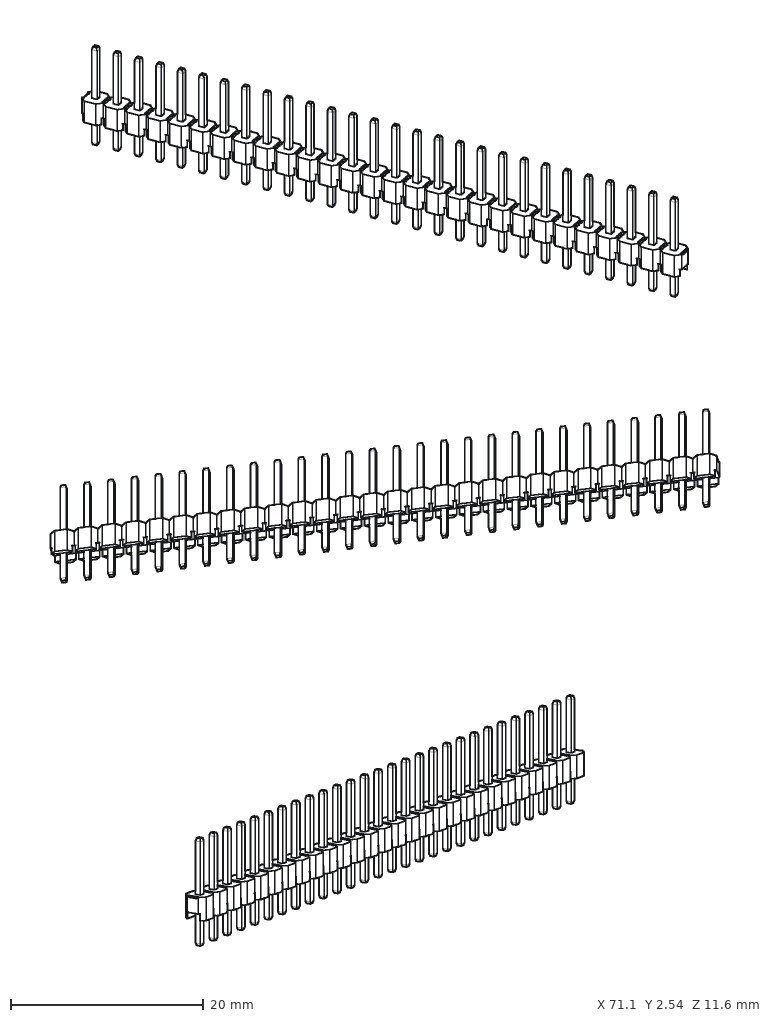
import cadquery as cq

PIN_COUNT = 28
PITCH = 2.54
PIN_WIDTH = 0.64
PIN_ABOVE = 6.06
PIN_BELOW = 3.0
TIP_HEIGHT = 0.3
TIP_WIDTH = 0.45

HOUSING_HEIGHT = 2.54
BLOCK_DEPTH = 2.54
BLOCK_CHAMFER = 0.585

RELIEF_HEIGHT = 0.75
GROOVE_WIDTH = 1.54
GAP_LENGTH = 0.3

NOTCH_LENGTH = 0.4
NOTCH_TOP_WIDTH = 1.2
NOTCH_DEPTH = 0.15
NOTCH_FLOOR_WIDTH = NOTCH_TOP_WIDTH - 2 * NOTCH_DEPTH


def box_on(bottom, length, depth, height):
    """Box centred on the Z axis, standing on the level `bottom`."""
    return cq.Workplane("XY").workplane(offset=bottom).rect(length, depth).extrude(height)


def make_tip(root, direction):
    """Tapered pin end that starts at the level `root` and points up (+1) or down (-1)."""
    return (
        cq.Workplane("XY")
        .workplane(offset=root)
        .rect(PIN_WIDTH, PIN_WIDTH)
        .workplane(offset=direction * TIP_HEIGHT)
        .rect(TIP_WIDTH, TIP_WIDTH)
        .loft(combine=True)
    )


def make_pin():
    """Square pin with both ends tapered; the housing underside is at Z = 0."""
    shank_bottom = TIP_HEIGHT - PIN_BELOW
    shank_top = HOUSING_HEIGHT + PIN_ABOVE - TIP_HEIGHT
    shank = box_on(shank_bottom, PIN_WIDTH, PIN_WIDTH, shank_top - shank_bottom)
    return shank.union(make_tip(shank_top, 1)).union(make_tip(shank_bottom, -1))


def make_notch():
    """Cutter for the snap-off notch, centred on X = 0."""
    floor_level = HOUSING_HEIGHT - NOTCH_DEPTH
    profile = [
        (-NOTCH_TOP_WIDTH / 2, HOUSING_HEIGHT),
        (NOTCH_TOP_WIDTH / 2, HOUSING_HEIGHT),
        (NOTCH_FLOOR_WIDTH / 2, floor_level),
        (-NOTCH_FLOOR_WIDTH / 2, floor_level),
    ]
    return cq.Workplane("YZ").polyline(profile).close().extrude(NOTCH_LENGTH / 2, both=True)


def make_block():
    """Eight-sided housing block with its groove and half a gap and notch at each end."""
    block = box_on(0, PITCH, BLOCK_DEPTH, HOUSING_HEIGHT).edges("|Z").chamfer(BLOCK_CHAMFER)
    block = block.cut(box_on(0, PITCH, GROOVE_WIDTH, RELIEF_HEIGHT))
    joint_cutter = make_notch().union(box_on(0, GAP_LENGTH, BLOCK_DEPTH, RELIEF_HEIGHT))
    for joint_x in (-PITCH / 2, PITCH / 2):
        block = block.cut(joint_cutter.translate((joint_x, 0, 0)))
    return block


def make_header():
    """Row of identical blocks with one pin each, the first pin on the Z axis."""
    unit = make_block().union(make_pin())
    header = unit
    for index in range(1, PIN_COUNT):
        header = header.union(unit.translate((index * PITCH, 0, 0)))
    return header


result = make_header()